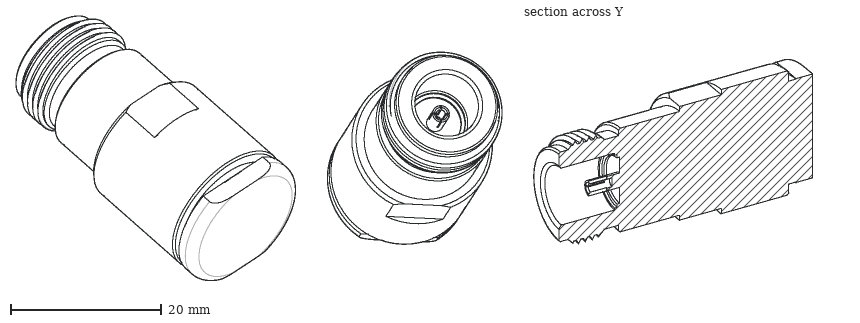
import cadquery as cq
import math


overall_length = 39.13
thread_lead_start = 1.45
thread_lead_end = 7.1
barrel_start = 9.25
body_start = 18.63
body_end = 35.5
nut_start = 36.55

neck_diameter = 13.75
thread_root_diameter = 14.7
thread_crest_diameter = 15.9
barrel_diameter = 15.9
groove_diameter = 15.75
body_diameter = 19.0

small_chamfer = 0.27
body_chamfer_length = 0.6
body_chamfer_height = 0.45
nut_fillet = 1.3

thread_pitch = 1.05
thread_half_angle = 30.0
ridge_start = 1.25
thread_turns = 5.0
ridge_embed = 0.1
thread_clearance = 0.2

body_flat_distance = 17.37
body_flat_end = 25.05
nut_flat_distance = 15.9

socket_diameter = 8.6
socket_mouth_diameter = 9.63
socket_mouth_depth = 0.4
socket_depth = 8.6
step_diameter = 8.0
step_depth = 9.0
insulator_diameter = 7.0
insulator_depth = 9.4

contact_diameter = 2.25
contact_tip = 4.7
contact_bore_diameter = 1.25
contact_mouth_diameter = 1.75
contact_bore_depth = 3.52
contact_slot_width = 0.15
contact_slot_length = 2.75


def cylinder(start, end, diameter):
    """Solid cylinder on the X axis between two stations."""
    return cq.Workplane("YZ", origin=(start, 0, 0)).circle(diameter / 2).extrude(end - start)


def make_outer_body():
    neck = neck_diameter / 2
    barrel = barrel_diameter / 2
    groove = groove_diameter / 2
    body = body_diameter / 2
    return (
        cq.Workplane("XY")
        .moveTo(0, 0)
        .lineTo(0, neck - small_chamfer)
        .lineTo(small_chamfer, neck)
        .lineTo(barrel_start, neck)
        .lineTo(barrel_start, barrel - small_chamfer)
        .lineTo(barrel_start + small_chamfer, barrel)
        .lineTo(body_start, barrel)
        .lineTo(body_start, body - body_chamfer_height)
        .lineTo(body_start + body_chamfer_length, body)
        .lineTo(body_end - small_chamfer, body)
        .lineTo(body_end, body - small_chamfer)
        .lineTo(body_end, groove)
        .lineTo(nut_start, groove)
        .lineTo(nut_start, body)
        .lineTo(overall_length - nut_fillet, body)
        .radiusArc((overall_length, body - nut_fillet), nut_fillet)
        .lineTo(overall_length, 0)
        .close()
        .revolve(360, (0, 0, 0), (1, 0, 0))
    )


def make_thread_envelope():
    """Cylinder just clearing the crest, with the lead cones at both ends."""
    neck = neck_diameter / 2
    outer = thread_crest_diameter / 2 + thread_clearance
    lead = outer - neck
    return (
        cq.Workplane("XY")
        .polyline([
            (thread_lead_start, 0),
            (thread_lead_start, neck),
            (thread_lead_start + lead, outer),
            (thread_lead_end - lead, outer),
            (thread_lead_end, neck),
            (thread_lead_end, 0),
        ])
        .close()
        .revolve(360, (0, 0, 0), (1, 0, 0))
    )


def make_thread():
    """Root cylinder and right-handed triangular ridge, both run out along 45 degree lead cones."""
    base_radius = thread_root_diameter / 2 - ridge_embed
    crest_radius = thread_crest_diameter / 2
    half_base = (crest_radius - base_radius) * math.tan(math.radians(thread_half_angle))
    path = cq.Wire.makeHelix(
        thread_pitch,
        thread_pitch * thread_turns,
        base_radius,
        center=cq.Vector(ridge_start, 0, 0),
        dir=cq.Vector(1, 0, 0),
    )
    profile = [
        (ridge_start - half_base, base_radius),
        (ridge_start, crest_radius),
        (ridge_start + half_base, base_radius),
    ]
    ridge = cq.Workplane("XZ").polyline(profile).close().sweep(path, isFrenet=True)
    ridge = ridge.rotate((0, 0, 0), (1, 0, 0), -90)
    root = cylinder(thread_lead_start, thread_lead_end, thread_root_diameter)
    return root.union(ridge).intersect(make_thread_envelope())


def cut_flats(solid, start, end, distance):
    """Cut two parallel flats, facing +Z and -Z, between two stations."""
    depth = (body_diameter - distance) / 2
    for side in (1, -1):
        cutter = cq.Workplane("XY").box(end - start, body_diameter, depth).translate(
            ((start + end) / 2, 0, side * (distance + depth) / 2)
        )
        solid = solid.cut(cutter)
    return solid


def make_socket():
    mouth = (
        cq.Workplane("XY")
        .polyline([
            (0, 0),
            (0, socket_mouth_diameter / 2),
            (socket_mouth_depth, socket_diameter / 2),
            (socket_mouth_depth, 0),
        ])
        .close()
        .revolve(360, (0, 0, 0), (1, 0, 0))
    )
    return (
        mouth
        .union(cylinder(0, socket_depth, socket_diameter))
        .union(cylinder(0, step_depth, step_diameter))
        .union(cylinder(0, insulator_depth, insulator_diameter))
    )


def make_contact():
    """Slotted tube with a countersunk mouth, standing on the socket floor."""
    mouth_depth = (contact_mouth_diameter - contact_bore_diameter) / 2
    contact = cylinder(contact_tip, insulator_depth, contact_diameter)
    contact = contact.cut(cylinder(contact_tip, contact_tip + contact_bore_depth, contact_bore_diameter))
    bore_edges = contact.edges(cq.selectors.RadiusNthSelector(0))
    contact = bore_edges.edges("<X").chamfer(mouth_depth)
    slot = cq.Workplane("XY").box(contact_slot_length, contact_slot_width, contact_diameter).translate(
        (contact_tip + contact_slot_length / 2, 0, 0)
    )
    for angle in (0, 90):
        contact = contact.cut(slot.rotate((0, 0, 0), (1, 0, 0), angle))
    return contact


connector = make_outer_body()
connector = cut_flats(connector, body_start, body_flat_end, body_flat_distance)
connector = cut_flats(connector, nut_start, overall_length, nut_flat_distance)
connector = connector.union(make_thread())
connector = connector.cut(make_socket())
result = connector.union(make_contact())